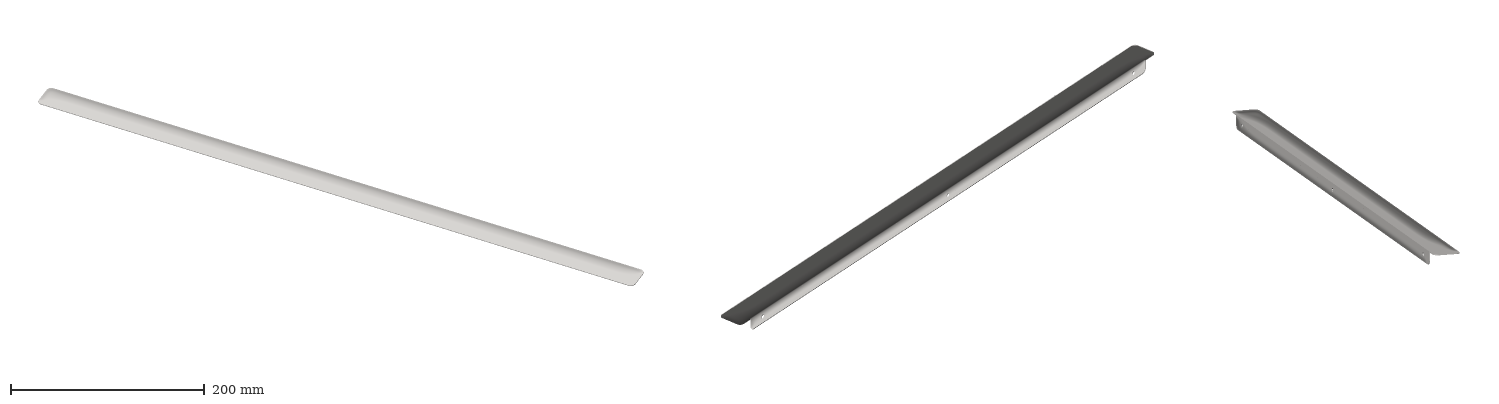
import cadquery as cq

plate_length = 686.5
plate_width = 29.0
plate_corner_radius = 5.0
sheet_thickness = 0.8

total_height = 15.0
flange_end_setback = 17.0
flange_length = plate_length - 2 * flange_end_setback
flange_corner_radius = 5.0
bend_inner_radius = 1.0

hole_diameter = 4.2
hole_end_distance = 20.0
hole_spacing = flange_length / 2 - hole_end_distance
hole_depth_below_top = 7.5

back_y = plate_width / 2


def make_plate():
    """Flat rounded strip with its top face at Z = 0."""
    plate = cq.Workplane("XY").rect(plate_length, plate_width).extrude(-sheet_thickness)
    return plate.edges("|Z").fillet(plate_corner_radius)


def make_flange():
    """Upright strip along the +Y edge, with rounded lower corners."""
    flange = cq.Workplane("XY").box(
        flange_length, sheet_thickness, total_height, centered=(True, False, False)
    )
    flange = flange.translate((0, back_y - sheet_thickness, -total_height))
    return flange.edges("|Y and <Z").fillet(flange_corner_radius)


def make_bend_fillet():
    """Concave fillet that fills the inside corner between plate and flange."""
    inner_y = back_y - sheet_thickness
    inner_z = -sheet_thickness
    return (
        cq.Workplane("YZ")
        .moveTo(inner_y, inner_z)
        .lineTo(inner_y - bend_inner_radius, inner_z)
        .radiusArc((inner_y, inner_z - bend_inner_radius), bend_inner_radius)
        .close()
        .extrude(flange_length / 2, both=True)
    )


def make_holes():
    """Row of cylinders that cut the screw holes along Y."""
    positions = [(i * hole_spacing, -hole_depth_below_top) for i in (-1, 0, 1)]
    return (
        cq.Workplane("XZ")
        .pushPoints(positions)
        .circle(hole_diameter / 2)
        .extrude(-plate_width)
    )


result = make_plate().union(make_flange()).union(make_bend_fillet()).cut(make_holes())